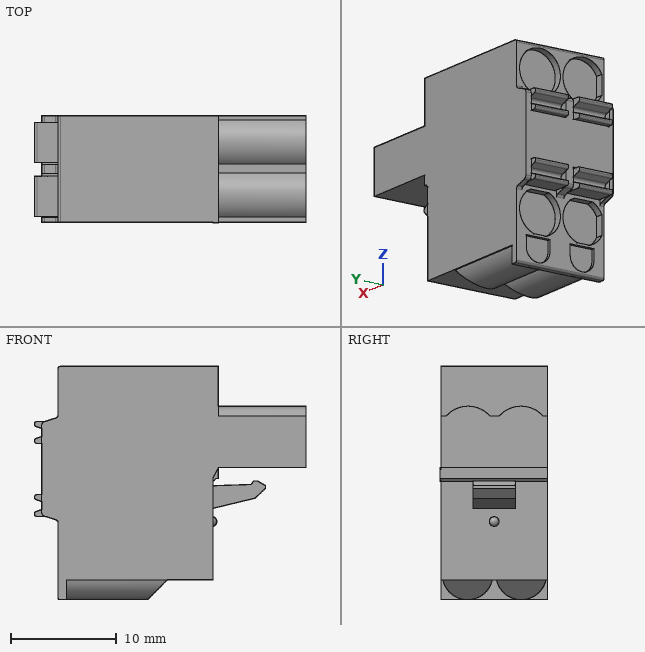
import cadquery as cq

body_width = 10.1
half_width = body_width / 2
body_height = 22.1
body_depth = 15.2
lower_depth = 14.7
ledge_z = 1.87
foot_thickness = 0.8
top_edge_radius = 0.26
foot_edge_radius = 0.19

plug_end_x = 23.5
plug_bottom_z = 12.5
plug_shoulder_z = 17.38
plug_arch_height = 0.94
plug_arch_half_width = 2.08
plug_arch_pitch = 5.02
plug_arch_centre_y = 0.04
rear_bevel_z = 11.55

nose_x = -1.53
nose_mid_z = 12.385
nose_root_half_height = 4.885
nose_tip_half_height = 4.405
nose_root_radius = 0.3
nose_tip_radius = 0.4
nose_pocket_top_floor_z = 14.76
nose_pocket_low_ceiling_z = 10.0
nose_pocket_spans = [(0.42, 4.43), (-4.60, -0.44)]

tab_x = -2.22
tab_height = 2.1
tab_width = 3.83
tab_tip_height = 0.44
tab_root_height = 0.78
tab_edge_radius = 0.24
tab_groove_x = -1.25
tab_low_edges_y = [0.6, -4.5]
tab_bottoms_z = [14.78, 7.86]

opening_radius = 2.36
opening_depth = 0.85
opening_centres_y = [2.35, -2.67]
opening_side_limit_y = -4.79
upper_opening_z = 19.33
upper_opening_floor_z = 17.25
lower_opening_z = 5.42
lower_opening_ceiling_z = 7.53
lower_opening_floor_z = 3.17

slot_radius = 1.375
slot_centre_z = 1.75
slot_top_z = 2.92
slot_depth = 0.35
slot_centres_y = [2.56, -2.52]
channel_radius = 2.4
channel_top_end_x = 10.35

rib_overhang = 0.08
rib_bottom_z = 11.45
rib_root_z = 11.2
rib_bottom_flat = 0.25
latch_width = 4.0
latch_root_top_z = 10.8
latch_root_bottom_z = 8.64
latch_hook_foot_x = 18.28
latch_hook_foot_z = 10.92
latch_hook_x = 18.55
latch_hook_z = 11.26
latch_hook_flat = 0.33
latch_tip_x = 19.67
latch_tip_height = 0.25
latch_nose_length = 1.0
latch_nose_z = 9.6
dome_height = 0.35
dome_half_chord = 0.46
dome_z = 7.4

overlap = 0.5


def prism(profile, y_min, y_max):
    """Extrude a closed X-Z polygon between two Y positions."""
    plane = cq.Workplane("XZ", origin=(0, y_min, 0))
    return plane.polyline(profile).close().extrude(y_min - y_max)


def box(x_span, y_span, z_span):
    """Make an axis-aligned box from its spans along X, Y and Z."""
    size = [span[1] - span[0] for span in (x_span, y_span, z_span)]
    return cq.Workplane("XY").box(*size, centered=False).translate((x_span[0], y_span[0], z_span[0]))


def disc(x_min, x_max, y, z, radius):
    """Make a cylinder along X."""
    return cq.Workplane("YZ", origin=(x_min, y, z)).circle(radius).extrude(x_max - x_min)


def make_housing():
    profile = [
        (0, 0),
        (foot_thickness, 0),
        (foot_thickness, ledge_z),
        (lower_depth, ledge_z),
        (lower_depth, rear_bevel_z),
        (body_depth, plug_bottom_z),
        (body_depth, body_height),
        (0, body_height),
    ]
    housing = prism(profile, -half_width, half_width)
    housing = housing.edges("<X and >Z").fillet(top_edge_radius)
    housing = housing.edges("<X and <Z").fillet(foot_edge_radius)
    return housing.union(make_nose())


def make_nose():
    root_top = nose_mid_z + nose_root_half_height
    root_bottom = nose_mid_z - nose_root_half_height
    profile = [
        (overlap, body_height - overlap),
        (0, body_height - overlap),
        (0, root_top),
        (nose_x, nose_mid_z + nose_tip_half_height),
        (nose_x, nose_mid_z - nose_tip_half_height),
        (0, root_bottom),
        (0, ledge_z),
        (overlap, ledge_z),
    ]
    nose = prism(profile, -half_width, half_width)
    nose = nose.edges("|Y and <X").fillet(nose_tip_radius)
    for z in (root_top, root_bottom):
        nose = nose.edges(cq.selectors.NearestToPointSelector((0, 0, z))).fillet(nose_root_radius)
    return nose


def cut_nose_pockets(part):
    for y_span in nose_pocket_spans:
        upper = box((nose_x, 0), y_span, (nose_pocket_top_floor_z, upper_opening_z))
        lower = box((nose_x, 0), y_span, (lower_opening_z, nose_pocket_low_ceiling_z))
        part = part.cut(upper).cut(lower)
    return part


def make_tab(y_min, z_min):
    """Tab with two jaws parted by a tapering, round-bottomed groove."""
    z_max = z_min + tab_height
    z_mid = z_min + tab_height / 2
    groove_radius = tab_height / 2 - tab_root_height
    tip_half_gap = tab_height / 2 - tab_tip_height
    plane = cq.Workplane("XZ", origin=(0, y_min, 0))
    tab = (
        plane.moveTo(overlap, z_min)
        .lineTo(tab_x, z_min)
        .lineTo(tab_x, z_mid - tip_half_gap)
        .lineTo(tab_groove_x, z_mid - groove_radius)
        .threePointArc((tab_groove_x + groove_radius, z_mid), (tab_groove_x, z_mid + groove_radius))
        .lineTo(tab_x, z_mid + tip_half_gap)
        .lineTo(tab_x, z_max)
        .lineTo(overlap, z_max)
        .close()
        .extrude(-tab_width)
    )
    return tab.edges("|Y and <X").fillet(tab_edge_radius)


def cut_wire_openings(part):
    x_span = (0, opening_depth)
    side_span = (opening_side_limit_y, half_width)
    levels = [
        (upper_opening_z, (upper_opening_floor_z, body_height)),
        (lower_opening_z, (lower_opening_floor_z, lower_opening_ceiling_z)),
    ]
    for z, z_span in levels:
        limits = box(x_span, side_span, z_span)
        for y in opening_centres_y:
            part = part.cut(disc(0, opening_depth, y, z, opening_radius).intersect(limits))
    return part


def cut_test_slots(part):
    half_body = (-half_width, half_width)
    round_limits = box((0, slot_depth), half_body, (0, slot_centre_z))
    for y in slot_centres_y:
        side_span = (y - slot_radius, y + slot_radius)
        round_end = disc(0, slot_depth, y, slot_centre_z, slot_radius).intersect(round_limits)
        straight = box((0, slot_depth), side_span, (slot_centre_z, slot_top_z))
        part = part.cut(round_end.union(straight))
    return part


def make_channels():
    """Round channels below the ledge, ended by a 45 degree cut."""
    top_z = ledge_z + overlap
    side_profile = [
        (overlap, 0),
        (channel_top_end_x - ledge_z, 0),
        (channel_top_end_x + overlap, top_z),
        (overlap, top_z),
    ]
    limits = prism(side_profile, -half_width, half_width)
    channels = cq.Workplane("XY")
    for y in slot_centres_y:
        round_bar = disc(overlap, channel_top_end_x + overlap, y, channel_radius, channel_radius)
        channels = channels.add(round_bar.intersect(limits))
    return channels.combine()


def make_plug():
    x_start = body_depth - overlap
    length = plug_end_x - x_start
    plug = box((x_start, plug_end_x), (-half_width, half_width), (plug_bottom_z, plug_shoulder_z))
    for side in (-1, 1):
        y = plug_arch_centre_y + side * plug_arch_pitch / 2
        arch = (
            cq.Workplane("YZ", origin=(x_start, y, plug_shoulder_z))
            .moveTo(-plug_arch_half_width, -overlap)
            .lineTo(-plug_arch_half_width, 0)
            .threePointArc((0, plug_arch_height), (plug_arch_half_width, 0))
            .lineTo(plug_arch_half_width, -overlap)
            .close()
            .extrude(length)
        )
        plug = plug.union(arch)
    return plug


def make_rib():
    """Rib filling the bevel under the plug."""
    profile = [
        (lower_depth, rear_bevel_z),
        (body_depth, plug_bottom_z),
        (body_depth, rib_bottom_z),
        (body_depth - rib_bottom_flat, rib_bottom_z),
        (lower_depth, rib_root_z),
    ]
    return prism(profile, -half_width - rib_overhang, half_width)


def make_latch():
    """Hooked latch arm pointing back under the plug."""
    profile = [
        (lower_depth - overlap, latch_root_top_z),
        (lower_depth, latch_root_top_z),
        (latch_hook_foot_x, latch_hook_foot_z),
        (latch_hook_x, latch_hook_z),
        (latch_hook_x + latch_hook_flat, latch_hook_z),
        (latch_tip_x, latch_root_top_z),
        (latch_tip_x, latch_root_top_z - latch_tip_height),
        (latch_tip_x - latch_nose_length, latch_nose_z),
        (lower_depth, latch_root_bottom_z),
        (lower_depth - overlap, latch_root_bottom_z),
    ]
    return prism(profile, -latch_width / 2, latch_width / 2)


def make_dome():
    """Small spherical dome on the rear face."""
    radius = (dome_half_chord**2 + dome_height**2) / (2 * dome_height)
    centre_x = lower_depth + dome_height - radius
    return cq.Workplane("XY").sphere(radius).rotate((0, 0, 0), (0, 1, 0), 90).translate((centre_x, 0, dome_z))


result = make_housing()
result = cut_nose_pockets(result)
result = cut_wire_openings(result)
result = cut_test_slots(result)
for tab_z in tab_bottoms_z:
    for tab_y in tab_low_edges_y:
        result = result.union(make_tab(tab_y, tab_z))
for addition in (make_channels(), make_plug(), make_rib(), make_latch(), make_dome()):
    result = result.union(addition)